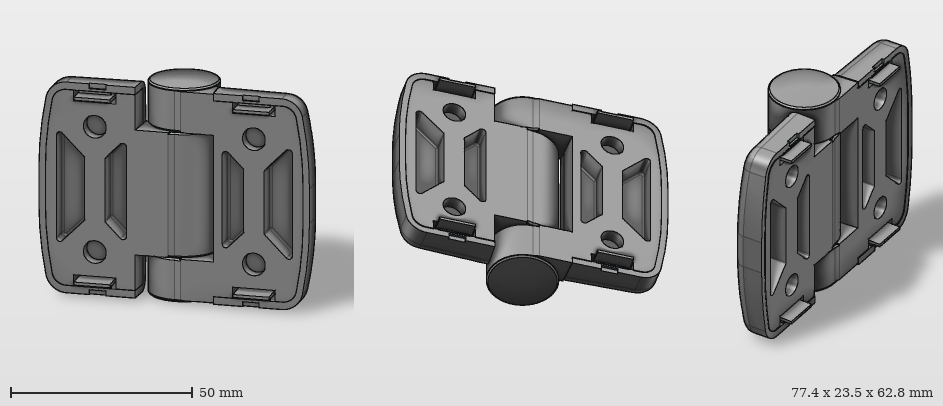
import cadquery as cq
import math


barrel_radius = 10.0
center_knuckle_half = 17.95
lug_inner_z = 18.2
lug_outer_z = 30.0
knuckle_chamfer = 0.5
barrel_blend_x = 1.75

cap_rim_height = 0.7
cap_chamfer = 0.45
cap_total_height = 1.415

cover_reach = 38.71
cover_half_height = 30.3
cover_flat_half = 5.0
cover_side_radius = 105.0
cover_corner_radius = 6.0
cover_top_y = -0.33
cover_top_tilt = 2.0
cover_crown_radius = 340.0
cover_edge_fillet = 3.4
cover_back_y = -10.65
rim_side_width = 1.85
rim_end_width = 2.15

end_x_back = 11.2
end_x_top = 10.7

leaf_back_y = -10.4
leaf_top_y = -3.6
leaf_corner_radius = 4.0
web_top_y = 0.3
web_crown_radius = 155.0

fixing_x = 22.75
hole_z = 18.0
hole_diameter = 6.5
hole_depth = 3.7

well_depth = 6.2
well_half_short = 9.1
well_obtuse_fillet = 0.4
well_acute_fillet = 1.0
well_floor_fillet = 0.6
outer_well_short_x = 25.7
outer_well_long_x = 33.75
inner_well_short_x = 19.85
inner_well_long_x = 13.7

window_width = 12.1
window_inner_z = 25.0
tab_width = 10.3
tab_outer_z = 27.0
tab_thickness = 0.85
tab_root_thickness = 1.17
tab_end_y = -13.5
bead_width = 9.1
bead_height = 0.7
bead_thickness = 1.0
notch_x = 21.95
notch_width = 4.8
notch_height = 1.4
notch_depth = 0.7

big = 100.0


def box_between(x_range, y_range, z_range):
    size = [high - low for low, high in (x_range, y_range, z_range)]
    return cq.Workplane("XY").box(*size, centered=False).translate((x_range[0], y_range[0], z_range[0]))


def centered_range(center, width):
    return (center - width / 2, center + width / 2)


def mirror_x(body):
    return body.mirror("YZ")


def mirror_z(body):
    return body.mirror("XY")


def outline_block(side_inset, end_inset, corner_radius, back_y, top_y):
    """Block with the bowed plate outline, from the barrel axis outwards."""
    reach = cover_reach - side_inset
    half = cover_half_height - end_inset
    radius = cover_side_radius - side_inset

    def bow(z):
        return reach - radius + math.sqrt(radius**2 - (z - cover_flat_half) ** 2)

    middle = (half + cover_flat_half) / 2
    profile = (
        cq.Workplane("XZ", origin=(0, back_y, 0))
        .moveTo(0, -half)
        .lineTo(bow(half), -half)
        .threePointArc((bow(middle), -middle), (reach, -cover_flat_half))
        .lineTo(reach, cover_flat_half)
        .threePointArc((bow(middle), middle), (bow(half), half))
        .lineTo(0, half)
        .close()
    )
    block = profile.extrude(back_y - top_y)
    return block.edges("|Y").edges("not <X").fillet(corner_radius)


def crown_body(top_y, crown_radius):
    """Large cylinder along X whose +Y side crowns the body it is intersected with."""
    return cq.Workplane("YZ", origin=(-big, top_y - crown_radius, 0)).circle(crown_radius).extrude(2 * big)


def slant_x(y):
    """X of the slanted end face at height y."""
    slope = (end_x_top - end_x_back) / (cover_top_y - cover_back_y)
    return end_x_back + slope * (y - cover_back_y)


def outboard_side():
    """Everything beyond the slanted end face."""
    return (
        cq.Workplane("XY", origin=(0, 0, -big))
        .polyline([(slant_x(-big), -big), (big, -big), (big, big), (slant_x(big), big)])
        .close()
        .extrude(2 * big)
    )


def clip_tab():
    """Flat clip hanging from the cover ceiling through the leaf window, slightly tapered."""
    root_z = tab_outer_z - tab_root_thickness
    tip_z = tab_outer_z - tab_thickness
    return (
        cq.Workplane("YZ", origin=(fixing_x - tab_width / 2, 0, 0))
        .moveTo(leaf_top_y, tab_outer_z)
        .lineTo(tab_end_y, tab_outer_z)
        .lineTo(tab_end_y, tip_z)
        .lineTo(leaf_top_y, root_z)
        .close()
        .extrude(tab_width)
    )


def snap_bead():
    """Bead on the inside of the end wall, over the leaf window."""
    wall_z = cover_half_height - rim_end_width
    return box_between(
        centered_range(fixing_x, bead_width),
        (leaf_back_y, leaf_back_y + bead_thickness),
        (wall_z - bead_height, wall_z),
    )


def pry_notch():
    return box_between(
        centered_range(notch_x, notch_width),
        (cover_back_y, cover_back_y + notch_depth),
        (cover_half_height - notch_height, cover_half_height),
    )


def make_cover():
    crown = crown_body(cover_top_y, cover_crown_radius)
    crown = crown.rotate((end_x_top, cover_top_y, 0), (end_x_top, cover_top_y, 1), -cover_top_tilt)
    shell = outline_block(0, 0, cover_corner_radius, cover_back_y, barrel_radius).intersect(crown)
    shell = shell.faces(">Y").edges("not <X").fillet(cover_edge_fillet)
    shell = shell.intersect(outboard_side())
    shell = shell.cut(
        outline_block(rim_side_width, rim_end_width, leaf_corner_radius, cover_back_y, leaf_top_y)
    )
    for detail in (clip_tab(), snap_bead()):
        shell = shell.union(detail).union(mirror_z(detail))
    return shell.cut(pry_notch()).cut(mirror_z(pry_notch()))


def well(short_x, long_x):
    """Trapezoid well with 45 degree ends, longer side at long_x, and a rounded floor."""
    half_long = well_half_short + abs(long_x - short_x)
    pocket = (
        cq.Workplane("XZ", origin=(0, leaf_back_y, 0))
        .moveTo(short_x, -well_half_short)
        .lineTo(long_x, -half_long)
        .lineTo(long_x, half_long)
        .lineTo(short_x, well_half_short)
        .close()
        .extrude(-well_depth)
    )
    short_side, long_side = ("<X", ">X") if long_x > short_x else (">X", "<X")
    pocket = pocket.edges("|Y").edges(long_side).fillet(well_acute_fillet)
    pocket = pocket.faces(short_side).edges("|Y").fillet(well_obtuse_fillet)
    return pocket.faces(">Y").edges().fillet(well_floor_fillet)


def screw_hole():
    """Blind hole sunk from the mounting side."""
    hole = cq.Workplane("XZ", origin=(fixing_x, leaf_back_y, hole_z))
    return hole.circle(hole_diameter / 2).extrude(-hole_depth)


def clip_window():
    """Opening through the leaf edge, reaching the end wall of the cover."""
    return box_between(
        centered_range(fixing_x, window_width),
        (leaf_back_y, leaf_top_y),
        (window_inner_z, cover_half_height),
    )


def leaf_plate():
    plate = outline_block(rim_side_width, rim_end_width, leaf_corner_radius, leaf_back_y, leaf_top_y)
    plate = plate.intersect(outboard_side())
    plate = plate.cut(well(outer_well_short_x, outer_well_long_x))
    plate = plate.cut(well(inner_well_short_x, inner_well_long_x))
    for opening in (screw_hole(), clip_window()):
        plate = plate.cut(opening).cut(mirror_z(opening))
    return plate


def knuckle(z_low, z_high, chamfered_faces):
    """Barrel length with its web to the slanted end face of the plate."""
    height = z_high - z_low
    base = cq.Workplane("XY", origin=(0, 0, z_low))
    heel = base.polyline([(0, 0), (0, -barrel_radius), (barrel_blend_x, leaf_back_y), (barrel_blend_x, 0)])
    barrel = base.circle(barrel_radius).extrude(height).union(heel.close().extrude(height))
    barrel = barrel.faces(chamfered_faces).chamfer(knuckle_chamfer)
    web = box_between((barrel_blend_x, end_x_back), (leaf_back_y, web_top_y), (z_low, z_high))
    web = web.intersect(crown_body(web_top_y, web_crown_radius)).cut(outboard_side())
    web = web.cut(base.circle(barrel_radius - knuckle_chamfer).extrude(height))
    return barrel.union(web)


def make_center_leaf():
    barrel = knuckle(-center_knuckle_half, center_knuckle_half, "|Z")
    return mirror_x(leaf_plate().union(barrel))


def make_lug_leaf():
    lug = knuckle(lug_inner_z, lug_outer_z, "<Z")
    return leaf_plate().union(lug).union(mirror_z(lug))


def make_end_cap():
    """Low disc with a chamfered edge and a domed top."""
    dome_edge_radius = barrel_radius - cap_chamfer
    dome_rise = cap_total_height - cap_rim_height
    dome_radius = (dome_edge_radius**2 + dome_rise**2) / (2 * dome_rise)
    mid_radius = dome_edge_radius / 2
    top_z = lug_outer_z + cap_total_height
    mid_z = top_z - dome_radius + math.sqrt(dome_radius**2 - mid_radius**2)
    return (
        cq.Workplane("XZ")
        .moveTo(0, lug_outer_z)
        .lineTo(barrel_radius, lug_outer_z)
        .lineTo(barrel_radius, lug_outer_z + cap_rim_height - cap_chamfer)
        .lineTo(dome_edge_radius, lug_outer_z + cap_rim_height)
        .threePointArc((mid_radius, mid_z), (0, top_z))
        .close()
        .revolve(360, (0, 0, 0), (0, 1, 0))
    )


center_leaf = make_center_leaf()
lug_leaf = make_lug_leaf()
right_cover = make_cover()
left_cover = mirror_x(right_cover)
top_cap = make_end_cap()
bottom_cap = mirror_z(top_cap)

bodies = [center_leaf, lug_leaf, left_cover, right_cover, top_cap, bottom_cap]
result = cq.Compound.makeCompound([body.val() for body in bodies])